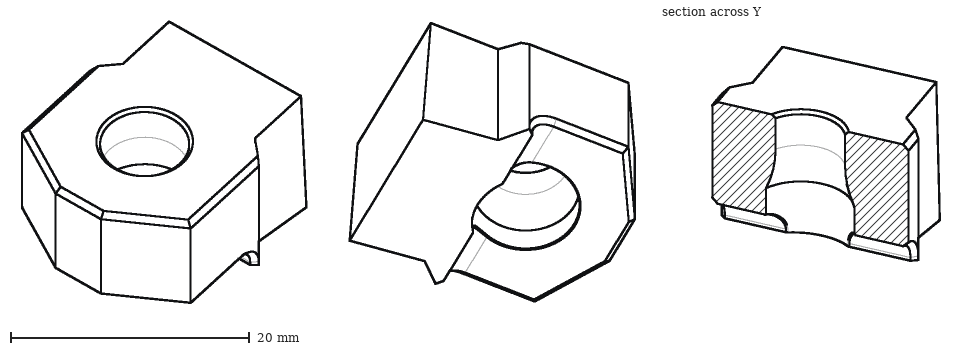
import math
import cadquery as cq

half_width = 9.0
front_y = -half_width
rear_y = front_y + 22.0
total_height = 14.0

tail_half_width = 7.05
tail_start_y = 6.0
nose_half_width = 2.42
nose_angle = math.radians(30)
shoulder_y = tail_start_y - (half_width - tail_half_width)
side_front_y = front_y + (half_width - nose_half_width) * math.tan(nose_angle)

front_thickness = 9.99
rear_rake = math.radians(3)
underside_slope = math.radians(10)
step_wall_y = 3.52
step_radius = 2.0
floor_center_y = front_y / 2
wall_center_z = -total_height + step_radius / 2
rear_top_y = rear_y - total_height * math.tan(rear_rake)
step_bottom_z = -total_height + (rear_y - step_wall_y) * math.tan(underside_slope)

body_chamfer = 0.5
bore_chamfer = 0.3
seat_chamfer = 0.09

bore_radius = 3.75
seat_radius = 4.5
seat_top_z = -3.35
seat_curve_radius = 11.0


def make_prism(half_outline):
    """Extrude a plan outline, given by its +X half, down from the top face."""
    mirrored = [(-x, y) for x, y in reversed(half_outline)]
    return cq.Workplane("XY").polyline(half_outline + mirrored).close().extrude(-total_height)


def make_bevelled_block():
    """Full-width block with the step cut below its nose and its edges bevelled."""
    block = make_prism(
        [
            (nose_half_width, front_y),
            (half_width, side_front_y),
            (half_width, rear_y),
        ]
    )
    step = (
        cq.Workplane("XY")
        .box(
            2 * half_width,
            step_wall_y - front_y,
            total_height - front_thickness,
            centered=(True, False, False),
        )
        .translate((0, front_y, -total_height))
        .edges("|X and >Y and >Z")
        .fillet(step_radius)
    )
    stepped = block.cut(step)
    top_rim = stepped.faces(">Z").edges("not >Y")
    floor_rim = stepped.faces(
        cq.selectors.NearestToPointSelector((0, floor_center_y, -front_thickness))
    ).edges("not >Y")
    step_arcs = stepped.edges("%CIRCLE")
    wall_ends = stepped.faces(
        cq.selectors.NearestToPointSelector((0, step_wall_y, wall_center_z))
    ).edges("|Z")
    bevelled_edges = top_rim.vals() + floor_rim.vals() + step_arcs.vals() + wall_ends.vals()
    return stepped.newObject(bevelled_edges).chamfer(body_chamfer)


def trim_to_outline(block):
    """Narrow the tail, rake the rear face and slope the underside."""
    plan = make_prism(
        [
            (nose_half_width, front_y),
            (half_width, side_front_y),
            (half_width, shoulder_y),
            (tail_half_width, tail_start_y),
            (tail_half_width, rear_y),
        ]
    )
    profile = (
        cq.Workplane("YZ")
        .polyline(
            [
                (front_y, 0),
                (rear_top_y, 0),
                (rear_y, -total_height),
                (step_wall_y, step_bottom_z),
                (front_y, step_bottom_z),
            ]
        )
        .close()
        .extrude(half_width, both=True)
    )
    return block.intersect(plan).intersect(profile)


def make_bore_cutter():
    curve_angle = math.acos(1 - (seat_radius - bore_radius) / seat_curve_radius)

    def curve_point(angle):
        return (
            bore_radius + seat_curve_radius * (1 - math.cos(angle)),
            seat_top_z - seat_curve_radius * math.sin(angle),
        )

    return (
        cq.Workplane("XZ")
        .moveTo(0, 0)
        .lineTo(bore_radius + bore_chamfer, 0)
        .lineTo(bore_radius, -bore_chamfer)
        .lineTo(bore_radius, seat_top_z)
        .threePointArc(curve_point(curve_angle / 2), curve_point(curve_angle))
        .lineTo(seat_radius, -total_height)
        .lineTo(0, -total_height)
        .close()
        .revolve(360, (0, 0), (0, 1))
    )


def chamfer_seat_rim(body):
    """Break the rim where the seat runs out through the floor and the step."""
    margin = 0.02
    rim = cq.selectors.BoxSelector(
        (-seat_radius - margin, -seat_radius - margin, step_bottom_z - margin),
        (seat_radius + margin, step_wall_y + margin, -front_thickness + margin),
        boundingbox=True,
    )
    return body.edges(rim).chamfer(seat_chamfer)


body = trim_to_outline(make_bevelled_block())
result = chamfer_seat_rim(body.cut(make_bore_cutter()))